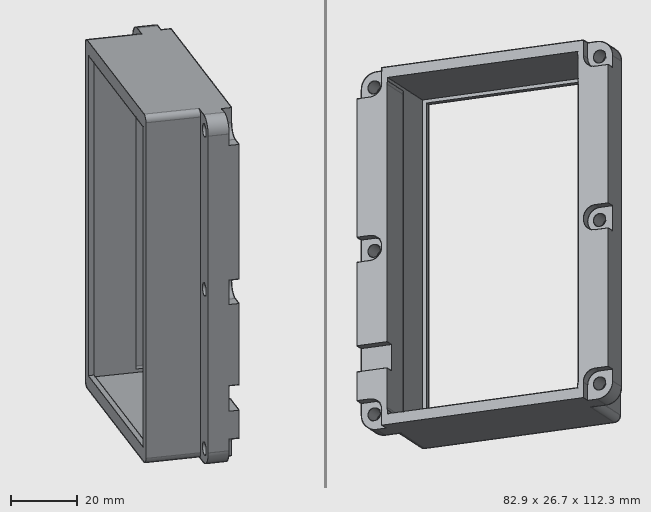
import cadquery as cq

WIDTH = 82.9
DEPTH = 26.7
HEIGHT = 112.3

FLANGE_FRONT = 17.1
FLANGE_CORNER_RADIUS = 5.0

BODY_WIDTH = 66.5
BODY_CORNER_RADIUS = 2.0

LIP_WIDTH = 60.0
LIP_HEIGHT = 103.3
LIP_DEPTH = 1.8
CAVITY_WIDTH = 62.5
CAVITY_HEIGHT = 105.5
RECESS_WIDTH = 63.0
RECESS_HEIGHT = CAVITY_HEIGHT
RECESS_FRONT = 15.3
RECESS_CORNER_RADIUS = 2.0

HOLE_DIAMETER = 4.0
HOLE_X = 37.2
HOLE_Z = 51.3
POCKET_RADIUS = 3.9
POCKET_DEPTH = 3.1
POCKET_FRONT = DEPTH - POCKET_DEPTH

SLOT_HEIGHT = 8.2
SLOT_Z = -34.2


def block(width, height, front, back, x=0.0, z=0.0):
    """Box centred on (x, z) that spans Y from front to back."""
    return cq.Workplane("XY").box(width, back - front, height).translate((x, (front + back) / 2, z))


def rounded_block(width, height, front, back, radius):
    return block(width, height, front, back).edges("|Y").fillet(radius)


def cylinder(diameter, front, back, x, z):
    """Round bar along Y, centred on (x, z)."""
    bar = cq.Workplane("XZ").circle(diameter / 2).extrude(front - back)
    return bar.translate((x, front, z))


def pocket(side, level):
    """Pocket behind one hole: open to the side edge, and to the end edge at the corners."""
    x = side * HOLE_X
    z = level * HOLE_Z
    size = 2 * POCKET_RADIUS
    cut = cylinder(size, POCKET_FRONT, DEPTH, x, z)
    cut = cut.union(block(size, size, POCKET_FRONT, DEPTH, x + side * POCKET_RADIUS, z))
    if level != 0:
        beyond = level * POCKET_RADIUS
        cut = cut.union(block(size, size, POCKET_FRONT, DEPTH, x, z + beyond))
        cut = cut.union(block(size, size, POCKET_FRONT, DEPTH, x + side * POCKET_RADIUS, z + beyond))
    return cut


body = rounded_block(BODY_WIDTH, HEIGHT, 0, DEPTH, BODY_CORNER_RADIUS)
flange = rounded_block(WIDTH, HEIGHT, FLANGE_FRONT, DEPTH, FLANGE_CORNER_RADIUS)
frame = body.union(flange)

frame = frame.cut(block(LIP_WIDTH, LIP_HEIGHT, 0, DEPTH))
frame = frame.cut(block(CAVITY_WIDTH, CAVITY_HEIGHT, LIP_DEPTH, DEPTH))
recess = rounded_block(RECESS_WIDTH, RECESS_HEIGHT, RECESS_FRONT, DEPTH, RECESS_CORNER_RADIUS)
frame = frame.cut(recess)

for side in (-1, 1):
    for level in (-1, 0, 1):
        x = side * HOLE_X
        frame = frame.cut(cylinder(HOLE_DIAMETER, FLANGE_FRONT, DEPTH, x, level * HOLE_Z))
        frame = frame.cut(pocket(side, level))

slot_start = CAVITY_WIDTH / 2
slot_length = WIDTH / 2 - slot_start
frame = frame.cut(block(slot_length, SLOT_HEIGHT, POCKET_FRONT, DEPTH, slot_start + slot_length / 2, SLOT_Z))

result = frame